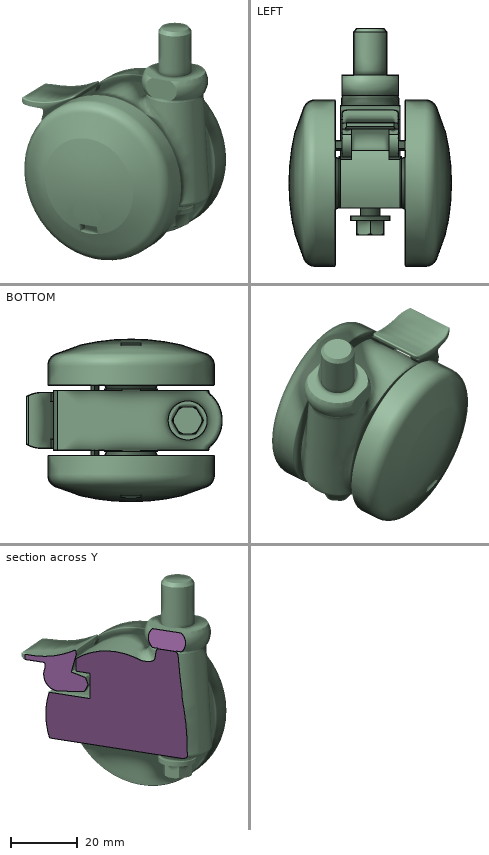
import cadquery as cq
import math


wheel_radius = 25.0
wheel_inner_y = 10.5
tread_outer_y = 16.45
rim_radius = 22.45
rim_y = 20.0
cap_radius = 15.1
cap_edge_y = 22.7
wheel_outer_y = 24.42
inner_edge_radius = 0.35
hub_base_radius = 7.9
hub_tip_radius = 7.4
notch_width = 6.0
notch_top_z = -12.3
notch_depth = 2.85

housing_radius = 23.3
housing_half_width = 9.0
housing_bottom_z = -7.5
axle_boss_radius = 8.0
axle_boss_y = 9.4

stem_x = 17.0
neck_top_z = 26.3
neck_top_radius = 8.6
neck_bottom_radius = 10.45
neck_bottom_fillet = 1.3
neck_blend_radius = 2.85
neck_chamfer_height = 0.85
neck_chamfer_width = 0.3

stem_radius = 5.0
stem_top_z = 46.5
stem_chamfer_height = 1.15
stem_chamfer_width = 0.85
collar_top_z = 32.45
collar_radius = 10.0
collar_end_radius = 9.1
collar_flats = 17.0
shank_radius = 3.0
washer_radius = 5.85
washer_top_z = -9.8
washer_bottom_z = -11.2
bolt_head_flats = 8.15
bolt_head_bottom_z = -15.6
bolt_head_chamfer = 0.4

lever_half_width = 8.45
pedal_front_x = -31.45
pedal_front_z = 18.2
pedal_middle_x = -22.5
pedal_middle_z = 18.5
pedal_rear_x = -12.95
pedal_rear_z = 22.2
pedal_rear_thickness = 1.4
pedal_bottom_z = 16.2
pedal_underside_x = -18.3
pedal_underside_z = 17.8
pedal_chamfer = 0.7
pedal_edge_fillet = 0.35
pedal_rear_corner_radius = 1.4
front_corner_length = 4.8
front_corner_depth = 1.3

arm_inner_y = 5.65
arm_front_x = -23.5
arm_root_radius = 0.65
arm_nose_x = -19.3
arm_nose_z = 12.5
arm_nose_radius = 4.7
arm_heel_x = -10.4
arm_heel_z = 8.95
arm_tip_x = -9.1
arm_tip_z = 11.45
arm_shoulder_x = -10.0
arm_shoulder_z = 13.6
arm_neck_x = -14.65
arm_neck_z = 14.65
brake_bar_x = -10.9
brake_bar_z = 11.3
brake_bar_length = 2.65
brake_bar_thickness = 1.3
brake_bar_tilt = 60.0

pocket_floor_z = 7.15
pocket_rear_x = -13.3
tunnel_rear_x = -8.6
tunnel_top_z = 15.0
step_radius = 22.3
step_z = 9.9

reach = 57.2


def box_between(x_range, y_range, z_range):
    """Box with its sides along the axes, given by its limits."""
    sizes = [end - start for start, end in (x_range, y_range, z_range)]
    return (
        cq.Workplane("XY")
        .box(*sizes, centered=False)
        .translate((x_range[0], y_range[0], z_range[0]))
    )


def extrude_along_y(profile, y_start, y_end):
    """Extrude an XZ profile between two Y positions."""
    return profile.extrude(y_start - y_end).translate((0, y_start, 0))


def axle_cylinder(radius, half_length):
    """Cylinder on the wheel axis, centred on the middle plane."""
    return cq.Workplane("XZ").circle(radius).extrude(half_length, both=True)


def stem_cylinder(radius, z_bottom, z_top):
    """Cylinder on the stem axis."""
    return cq.Workplane("XY", origin=(stem_x, 0, z_bottom)).circle(radius).extrude(z_top - z_bottom)


def stem_profile():
    """XZ sketch plane whose vertical axis is the stem axis."""
    return cq.Workplane("XZ", origin=(stem_x, 0, 0))


def revolve_upright(profile):
    """Turn a closed profile about the second axis of its sketch plane."""
    return profile.close().revolve(360, (0, 0), (0, 1))


def arc_radius(run, drop):
    """Radius of an arc that leaves its tangent by `drop` over a length of `run`."""
    return (run**2 + drop**2) / (2 * drop)


def make_wheel(side):
    """Wheel with a domed cap, on the +Y side (side = 1) or the -Y side (side = -1)."""
    shoulder_run = rim_y - tread_outer_y
    shoulder_radius = arc_radius(shoulder_run, wheel_radius - rim_radius)
    half_angle = math.asin(shoulder_run / shoulder_radius) / 2
    shoulder_middle = (
        wheel_radius - shoulder_radius * (1 - math.cos(half_angle)),
        tread_outer_y + shoulder_radius * math.sin(half_angle),
    )
    dome_radius = arc_radius(cap_radius, wheel_outer_y - cap_edge_y)
    body = revolve_upright(
        cq.Workplane("XY")
        .moveTo(0, wheel_inner_y)
        .lineTo(wheel_radius - inner_edge_radius, wheel_inner_y)
        .radiusArc((wheel_radius, wheel_inner_y + inner_edge_radius), -inner_edge_radius)
        .lineTo(wheel_radius, tread_outer_y)
        .threePointArc(shoulder_middle, (rim_radius, rim_y))
        .lineTo(cap_radius, cap_edge_y)
        .radiusArc((0, wheel_outer_y), -dome_radius)
    )
    hub = revolve_upright(
        cq.Workplane("XY")
        .moveTo(0, axle_boss_y)
        .lineTo(hub_tip_radius, axle_boss_y)
        .lineTo(hub_base_radius, wheel_inner_y)
        .lineTo(0, wheel_inner_y)
    )
    notch = box_between(
        (-notch_width / 2, notch_width / 2),
        (cap_edge_y - notch_depth, wheel_outer_y),
        (-cap_radius, notch_top_z),
    ).intersect(axle_cylinder(cap_radius, wheel_outer_y))
    wheel = body.union(hub).cut(notch)
    return wheel if side > 0 else wheel.mirror("XZ")


def make_neck():
    """Tapered swivel neck, chamfered at the top."""
    return revolve_upright(
        stem_profile()
        .moveTo(0, housing_bottom_z)
        .lineTo(neck_bottom_radius, housing_bottom_z)
        .lineTo(neck_top_radius, neck_top_z - neck_chamfer_height)
        .lineTo(neck_top_radius - neck_chamfer_width, neck_top_z)
        .lineTo(0, neck_top_z)
    )


def make_lever_pockets():
    """Space in the housing for the lever arms, the brake bar and the pedal."""
    arm_pocket_profile = (
        cq.Workplane("XZ")
        .moveTo(-wheel_radius, pocket_floor_z)
        .lineTo(tunnel_rear_x, pocket_floor_z)
        .lineTo(tunnel_rear_x, tunnel_top_z)
        .lineTo(pocket_rear_x, tunnel_top_z)
        .lineTo(pocket_rear_x, wheel_radius)
        .lineTo(-wheel_radius, wheel_radius)
        .close()
    )
    arm_pocket = extrude_along_y(arm_pocket_profile, arm_inner_y, housing_half_width)
    step = box_between(
        (-wheel_radius, pocket_rear_x), (-arm_inner_y, arm_inner_y), (step_z, wheel_radius)
    ).cut(axle_cylinder(step_radius, housing_half_width))
    return arm_pocket.union(arm_pocket.mirror("XZ")).union(step)


def make_housing():
    """Barrel between the wheels with the swivel neck, axle bosses and lever pockets."""
    above_bottom = box_between((-reach, reach), (-reach, reach), (housing_bottom_z, reach))
    between_sides = box_between(
        (-reach, reach), (-housing_half_width, housing_half_width), (-reach, reach)
    )
    barrel = axle_cylinder(housing_radius, 2 * housing_half_width).intersect(above_bottom)
    housing = barrel.union(make_neck()).edges("%BSPLINE").fillet(neck_blend_radius)
    housing = housing.intersect(between_sides)
    housing = housing.faces("<Z").edges(">X").fillet(neck_bottom_fillet)
    bosses = axle_cylinder(axle_boss_radius, axle_boss_y).intersect(above_bottom)
    shank_hole = stem_cylinder(shank_radius, housing_bottom_z, neck_top_z)
    return housing.union(bosses).cut(make_lever_pockets()).cut(shank_hole)


def make_collar():
    """Round bulged collar with a flat on each side."""
    collar = revolve_upright(
        stem_profile()
        .moveTo(0, neck_top_z)
        .lineTo(collar_end_radius, neck_top_z)
        .threePointArc(
            (collar_radius, (neck_top_z + collar_top_z) / 2), (collar_end_radius, collar_top_z)
        )
        .lineTo(0, collar_top_z)
    )
    flats = box_between(
        (-reach, reach), (-collar_flats / 2, collar_flats / 2), (neck_top_z, collar_top_z)
    )
    return collar.intersect(flats)


def make_bolt_head():
    """Hexagonal head with its lower corners chamfered."""
    corner_radius = bolt_head_flats / math.sqrt(3)
    hexagon = (
        cq.Workplane("XY", origin=(stem_x, 0, bolt_head_bottom_z))
        .polygon(6, 2 * corner_radius)
        .extrude(washer_bottom_z - bolt_head_bottom_z)
    )
    chamfered_round = stem_cylinder(corner_radius, bolt_head_bottom_z, washer_bottom_z)
    return hexagon.intersect(chamfered_round.faces("<Z").chamfer(bolt_head_chamfer))


def make_stem():
    """Mounting stem whose shank runs down through the neck to a washer and bolt head."""
    rod = stem_cylinder(stem_radius, collar_top_z, stem_top_z)
    rod = rod.faces(">Z").chamfer(stem_chamfer_height, stem_chamfer_width)
    shank = stem_cylinder(shank_radius, washer_top_z, neck_top_z)
    washer = stem_cylinder(washer_radius, washer_bottom_z, washer_top_z)
    return rod.union(make_collar()).union(shank).union(washer).union(make_bolt_head())


underside_start = (arm_front_x - arm_root_radius, pedal_bottom_z)
underside_middle = (pedal_underside_x, pedal_underside_z)
underside_end = (pedal_rear_x, pedal_rear_z - pedal_rear_thickness)


def make_pedal_plan():
    """Pedal outline from above: bowed front corners and rounded rear corners."""
    front_y = lever_half_width - front_corner_depth
    side_start_x = pedal_front_x + front_corner_length
    side_end_x = pedal_rear_x - pedal_rear_corner_radius
    rear_y = lever_half_width - pedal_rear_corner_radius
    bow_radius = arc_radius(front_corner_length, front_corner_depth)
    return (
        cq.Workplane("XY")
        .moveTo(pedal_front_x, -front_y)
        .lineTo(pedal_front_x, front_y)
        .radiusArc((side_start_x, lever_half_width), bow_radius)
        .lineTo(side_end_x, lever_half_width)
        .radiusArc((pedal_rear_x, rear_y), pedal_rear_corner_radius)
        .lineTo(pedal_rear_x, -rear_y)
        .radiusArc((side_end_x, -lever_half_width), pedal_rear_corner_radius)
        .lineTo(side_start_x, -lever_half_width)
        .radiusArc((pedal_front_x, -front_y), bow_radius)
        .close()
        .extrude(reach)
    )


def make_pedal():
    """Curved pedal plate with a rounded upper edge."""
    profile = (
        cq.Workplane("XZ")
        .moveTo(pedal_front_x, pedal_front_z)
        .threePointArc((pedal_middle_x, pedal_middle_z), (pedal_rear_x, pedal_rear_z))
        .lineTo(*underside_end)
        .threePointArc(underside_middle, underside_start)
        .lineTo(pedal_front_x + pedal_chamfer, pedal_bottom_z)
        .lineTo(pedal_front_x, pedal_bottom_z + pedal_chamfer)
        .close()
    )
    pedal = extrude_along_y(profile, -lever_half_width, lever_half_width).intersect(make_pedal_plan())
    top_face = cq.selectors.NearestToPointSelector((pedal_middle_x, 0, pedal_middle_z))
    return pedal.faces(top_face).edges().fillet(pedal_edge_fillet)


def make_arm():
    """Arm on the +Y side with its tilted brake bar, which reaches out to the wheel."""
    nose_top_z = arm_nose_z + math.sqrt(arm_nose_radius**2 - (arm_nose_x - arm_front_x) ** 2)
    profile = (
        cq.Workplane("XZ")
        .moveTo(*underside_start)
        .radiusArc((arm_front_x, pedal_bottom_z - arm_root_radius), arm_root_radius)
        .lineTo(arm_front_x, nose_top_z)
        .threePointArc(
            (arm_nose_x - arm_nose_radius, arm_nose_z), (arm_nose_x, arm_nose_z - arm_nose_radius)
        )
        .lineTo(arm_heel_x, arm_heel_z)
        .lineTo(arm_tip_x, arm_tip_z)
        .lineTo(arm_shoulder_x, arm_shoulder_z)
        .lineTo(arm_neck_x, arm_neck_z)
        .lineTo(*underside_end)
        .threePointArc(underside_middle, underside_start)
        .close()
    )
    bar = (
        cq.Workplane("XY")
        .box(brake_bar_length, wheel_inner_y - arm_inner_y, brake_bar_thickness)
        .rotate((0, 0, 0), (0, 1, 0), -brake_bar_tilt)
        .translate((brake_bar_x, (wheel_inner_y + arm_inner_y) / 2, brake_bar_z))
    )
    return extrude_along_y(profile, arm_inner_y, lever_half_width).union(bar)


def make_lever():
    """Brake lever: the pedal with an arm below each side."""
    arm = make_arm()
    return make_pedal().union(arm).union(arm.mirror("XZ"))


wheels = [make_wheel(side) for side in (-1, 1)]
housing = make_housing()
stem = make_stem()
lever = make_lever()

wheel_solids = [wheel.solids().val() for wheel in wheels]
result = cq.Compound.makeCompound(
    [*wheel_solids, housing.solids().val(), stem.solids().val(), lever.solids().val()]
)